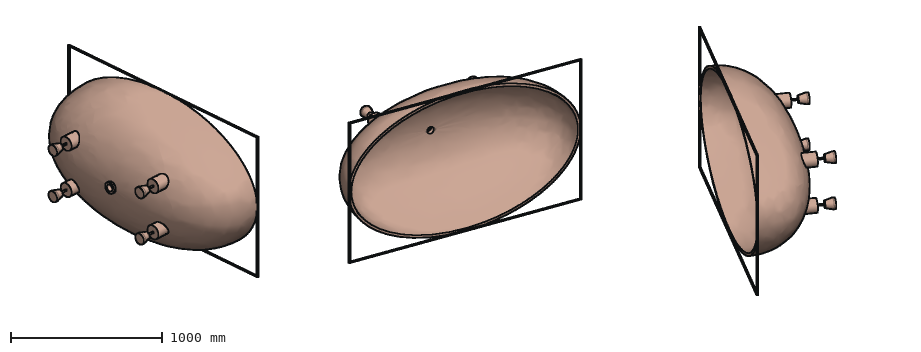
import cadquery as cq
import math


TUB_LENGTH = 1747.0
TUB_HEIGHT = 1070.0
TUB_DEPTH = 483.0
WALL = 21.0
LENGTH_POWER = 2.5
HEIGHT_POWER = 2.0
SECTION_COUNT = 14
LAST_ANGLE = 89.0

DRAIN_RADIUS = 42.0
DRAIN_HOLE_RADIUS = 25.0
SOCKET_END = 499.0

FOOT_X = 401.0
FOOT_Z = 175.0
SOCKET_RADIUS = 50.0
ROD_RADIUS = 6.1
PAD_TOP_RADIUS = 26.0
PAD_RADIUS = 40.0
PAD_RIM = 15.0
PAD_HEIGHT = 70.0
FOOT_END = 625.0
PAD_START = FOOT_END - PAD_HEIGHT
SOCKET_ROOT = TUB_DEPTH / 2

FRAME_LENGTH = 1751.0
FRAME_HEIGHT = 1061.0
FRAME_THICKNESS = 10.0
FRAME_SIDE_WIDTH = 10.0
FRAME_EDGE_WIDTH = 5.0


def plane_at(depth, x=0, z=0):
    """Plane facing -Y at a given depth below the rim."""
    return cq.Workplane("XZ", origin=(x, -depth, z))


def bowl(half_length, half_height, depth):
    """Loft of ellipses whose half axes follow the two rounded profiles."""
    sections = []
    for i in range(SECTION_COUNT):
        angle = math.radians(LAST_ANGLE * i / (SECTION_COUNT - 1))
        level = math.sin(angle)
        x_radius = half_length * (1 - level**LENGTH_POWER) ** (1 / LENGTH_POWER)
        z_radius = half_height * (1 - level**HEIGHT_POWER) ** (1 / HEIGHT_POWER)
        center = cq.Vector(0, -depth * level, 0)
        section = cq.Wire.makeEllipse(
            x_radius, z_radius, center, cq.Vector(0, -1, 0), cq.Vector(1, 0, 0)
        )
        sections.append(section)
    return cq.Workplane(cq.Solid.makeLoft(sections))


def make_foot(x, z):
    """Leg socket, threaded rod and flared pad, all round about one axis."""
    socket = plane_at(SOCKET_ROOT, x, z).circle(SOCKET_RADIUS).extrude(SOCKET_END - SOCKET_ROOT)
    rod_and_pad = (
        cq.Workplane("XY", origin=(x, 0, z))
        .moveTo(0, -SOCKET_END)
        .lineTo(ROD_RADIUS, -SOCKET_END)
        .lineTo(ROD_RADIUS, -PAD_START)
        .lineTo(PAD_TOP_RADIUS, -PAD_START)
        .lineTo(PAD_RADIUS, -(FOOT_END - PAD_RIM))
        .lineTo(PAD_RADIUS, -FOOT_END)
        .lineTo(0, -FOOT_END)
        .close()
        .revolve(360, (0, 0), (0, 1))
    )
    return socket.union(rod_and_pad)


def make_tub():
    """Hollow bowl with a drain and four feet."""
    tub = bowl(TUB_LENGTH / 2, TUB_HEIGHT / 2, TUB_DEPTH)
    tub = tub.union(plane_at(SOCKET_ROOT).circle(DRAIN_RADIUS).extrude(SOCKET_END - SOCKET_ROOT))
    for x in (-FOOT_X, FOOT_X):
        for z in (-FOOT_Z, FOOT_Z):
            tub = tub.union(make_foot(x, z))
    cavity = bowl(TUB_LENGTH / 2 - WALL, TUB_HEIGHT / 2 - WALL, TUB_DEPTH - WALL)
    drain_hole = plane_at(0).circle(DRAIN_HOLE_RADIUS).extrude(SOCKET_END)
    return tub.cut(cavity).cut(drain_hole)


def make_frame():
    """Thin rectangular frame against the rim."""
    opening_length = FRAME_LENGTH - 2 * FRAME_SIDE_WIDTH
    opening_height = FRAME_HEIGHT - 2 * FRAME_EDGE_WIDTH
    return (
        plane_at(0)
        .rect(FRAME_LENGTH, FRAME_HEIGHT)
        .rect(opening_length, opening_height)
        .extrude(-FRAME_THICKNESS)
    )


tub = make_tub()
frame = make_frame()

result = cq.Compound.makeCompound([tub.val(), frame.val()])